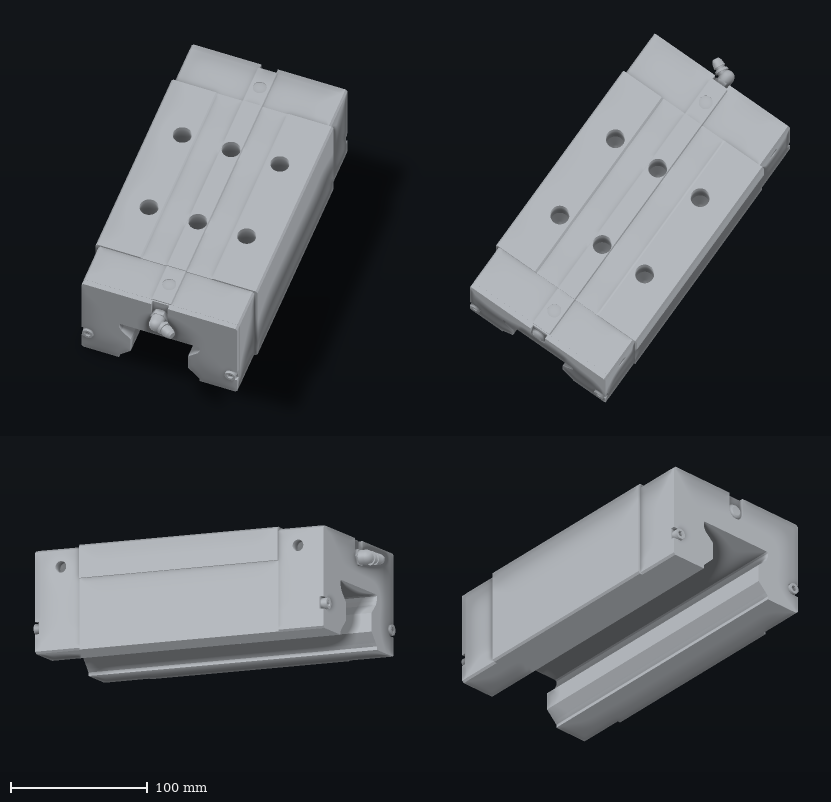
import cadquery as cq
import math

BLOCK_LENGTH = 160.0
CAP_LENGTH = 32.0
PLATE_LENGTH = 4.2
CAP_END_Y = BLOCK_LENGTH / 2 + CAP_LENGTH
PLATE_END_Y = CAP_END_Y + PLATE_LENGTH

BLOCK_HALF_WIDTH = 63.0
BLOCK_HEIGHT = 78.0
BLOCK_CHAMFER = 1.5
SIDE_RELIEF = 1.5
SIDE_RELIEF_HEIGHT = 53.0
TOP_RELIEF_DEPTH = 0.8
TOP_RELIEF_HALF_WIDTH = 26.8
TOP_RELIEF_SLOPE = 1.6

HOLE_DIAMETER = 14.0
HOLE_DEPTH = 24.0
DRILL_POINT_ANGLE = 118.0
HOLE_X = (-38.0, 0.0, 38.0)
HOLE_Y = (-35.0, 35.0)

CAP_HALF_WIDTH = 60.7
CAP_HEIGHT = 76.6
CAP_CHAMFER = 1.5
PLATE_INSET = 0.1

STRIP_TOP_HALF_WIDTH = 7.2
STRIP_BASE_HALF_WIDTH = 8.0
STRIP_RISE = 0.8
CAP_STRIP_TOP = CAP_HEIGHT + STRIP_RISE

PORT_Y = 95.5
PORT_Z = 63.0
SIDE_PORT_DIAMETER = 8.6
SIDE_PORT_DEPTH = 8.0
TOP_PORT_DIAMETER = 10.2
TOP_PORT_DEPTH = 0.5

OPENING_ROOF = 41.0
OPENING_HALF_PROFILE = [
    (31.4, 0.0),
    (31.4, 2.6),
    (29.3, 5.0),
    (22.3, 12.0),
    (22.3, 26.0),
    (29.7, 33.1),
    (31.4, 36.8),
    (31.4, 40.0),
    (30.4, OPENING_ROOF),
]

SLOT_DEPTH = 3.2
SLOT_FLOOR_Y = PLATE_END_Y - SLOT_DEPTH

SCREW_X = 55.5
SCREW_Z = 19.0
SCREW_HEAD_DIAMETER = 8.4
SCREW_HEAD_END_Y = 118.0
SCREW_SLOT_WIDTH = 9.2
SOCKET_ACROSS_CORNERS = 5.0
SOCKET_DEPTH = 2.5

PORT_SLOT_WIDTH = 12.9
PLUG_RADIUS = 6.6
PLUG_TIP_RADIUS = 3.6
PLUG_LENGTH = 3.7
PLUG_BULGE = 0.8

NIPPLE_HEX_ACROSS_CORNERS = 13.2
NIPPLE_HEX_END_Y = -117.5
NIPPLE_HEX_CHAMFER = 0.7
ELBOW_RADIUS = 5.4
ELBOW_Y = -122.5
BARB_ANGLE = 28.0
BARB_AXIS_Y = -120.8
BARB_TIP = 16.5
BARB_TIP_RADIUS = 2.7
BARB_PROFILE = [
    (3.0, 3.8),
    (6.0, 3.8),
    (6.0, 5.3),
    (8.0, 4.8),
    (8.0, 3.6),
    (10.0, 3.6),
    (10.0, 4.5),
    (14.3, 3.8),
    (BARB_TIP, BARB_TIP_RADIUS),
]


def box(x0, x1, y0, y1, z0, z1):
    """Axis-aligned box between two corners."""
    return cq.Workplane("XY").box(x1 - x0, y1 - y0, z1 - z0, centered=False).translate((x0, y0, z0))


def rod(diameter, x, y0, y1, z):
    """Cylinder along Y."""
    circle = cq.Workplane("XZ", origin=(x, y1, z)).circle(diameter / 2)
    return circle.extrude(y1 - y0)


def extrude_along_y(points, half_length):
    """Extrude an XZ outline symmetrically about Y = 0."""
    return cq.Workplane("XZ").polyline(points).close().extrude(half_length, both=True)


def make_block():
    side = BLOCK_HALF_WIDTH
    left_lower = -side + SIDE_RELIEF
    relief_floor = BLOCK_HEIGHT - TOP_RELIEF_DEPTH
    relief_top = TOP_RELIEF_HALF_WIDTH + TOP_RELIEF_SLOPE
    outline = [
        (left_lower, 0),
        (side - BLOCK_CHAMFER, 0),
        (side, BLOCK_CHAMFER),
        (side, BLOCK_HEIGHT - BLOCK_CHAMFER),
        (side - BLOCK_CHAMFER, BLOCK_HEIGHT),
        (relief_top, BLOCK_HEIGHT),
        (TOP_RELIEF_HALF_WIDTH, relief_floor),
        (-TOP_RELIEF_HALF_WIDTH, relief_floor),
        (-relief_top, BLOCK_HEIGHT),
        (-side + BLOCK_CHAMFER, BLOCK_HEIGHT),
        (-side, BLOCK_HEIGHT - BLOCK_CHAMFER),
        (-side, SIDE_RELIEF_HEIGHT),
        (left_lower, SIDE_RELIEF_HEIGHT),
    ]
    return extrude_along_y(outline, BLOCK_LENGTH / 2)


def make_end_section(half_width, height, half_length):
    """End cap or end plate section, running the whole length through the block."""
    section = box(-half_width, half_width, -half_length, half_length, 0, height)
    return section.edges("|Y").chamfer(CAP_CHAMFER)


def make_strip(top, half_length):
    base = top - STRIP_RISE
    outline = [
        (-STRIP_BASE_HALF_WIDTH, base),
        (STRIP_BASE_HALF_WIDTH, base),
        (STRIP_TOP_HALF_WIDTH, top),
        (-STRIP_TOP_HALF_WIDTH, top),
    ]
    return extrude_along_y(outline, half_length)


def make_rail_opening():
    mirrored = [(-x, z) for x, z in reversed(OPENING_HALF_PROFILE)]
    return extrude_along_y(OPENING_HALF_PROFILE + mirrored, PLATE_END_Y)


def make_mounting_hole(x, y):
    radius = HOLE_DIAMETER / 2
    floor = BLOCK_HEIGHT - HOLE_DEPTH
    point_depth = radius / math.tan(math.radians(DRILL_POINT_ANGLE / 2))
    profile = [(0, BLOCK_HEIGHT), (radius, BLOCK_HEIGHT), (radius, floor), (0, floor - point_depth)]
    hole = cq.Workplane("XZ").polyline(profile).close().revolve(360, (0, 0), (0, 1))
    return hole.translate((x, y, 0))


def make_cap_ports(y):
    side_port = cq.Workplane("YZ", origin=(-CAP_HALF_WIDTH, y, PORT_Z))
    side_port = side_port.circle(SIDE_PORT_DIAMETER / 2).extrude(SIDE_PORT_DEPTH)
    top_port = cq.Workplane("XY", origin=(0, y, CAP_STRIP_TOP - TOP_PORT_DEPTH))
    top_port = top_port.circle(TOP_PORT_DIAMETER / 2).extrude(TOP_PORT_DEPTH)
    return side_port.union(top_port)


def make_plate_slots(y0, y1):
    """Screw slots open to both sides and the port slot open to the top."""
    half_port = PORT_SLOT_WIDTH / 2
    slots = box(-half_port, half_port, y0, y1, PORT_Z, BLOCK_HEIGHT)
    slots = slots.union(rod(PORT_SLOT_WIDTH, 0, y0, y1, PORT_Z))
    half_slot = SCREW_SLOT_WIDTH / 2
    for side in (-1, 1):
        x0, x1 = sorted((side * SCREW_X, side * CAP_HALF_WIDTH))
        slots = slots.union(box(x0, x1, y0, y1, SCREW_Z - half_slot, SCREW_Z + half_slot))
        slots = slots.union(rod(SCREW_SLOT_WIDTH, side * SCREW_X, y0, y1, SCREW_Z))
    return slots


def make_screw(x, end):
    """Socket head on the -Y (end = -1) or +Y (end = 1) end plate."""
    y0, y1 = sorted((end * SLOT_FLOOR_Y, end * SCREW_HEAD_END_Y))
    head = rod(SCREW_HEAD_DIAMETER, x, y0, y1, SCREW_Z)
    socket = cq.Workplane("XZ", origin=(x, end * SCREW_HEAD_END_Y, SCREW_Z))
    socket = socket.polygon(6, SOCKET_ACROSS_CORNERS).extrude(end * SOCKET_DEPTH)
    return head.cut(socket)


def make_plug():
    """Domed plug seated on the floor of the rear port slot."""
    tip = SLOT_FLOOR_Y + PLUG_LENGTH
    middle_radius = (PLUG_RADIUS + PLUG_TIP_RADIUS) / 2
    bulge = (middle_radius + PLUG_BULGE, SLOT_FLOOR_Y + PLUG_LENGTH / 2)
    half = cq.Workplane("XY").moveTo(0, SLOT_FLOOR_Y).lineTo(PLUG_RADIUS, SLOT_FLOOR_Y)
    half = half.threePointArc(bulge, (PLUG_TIP_RADIUS, tip)).lineTo(0, tip).close()
    return half.revolve(360, (0, 0), (0, 1)).translate((0, 0, PORT_Z))


def make_nipple():
    """Hexagon base, elbow and hose barb at the front port."""
    base = cq.Workplane("XZ", origin=(0, -SLOT_FLOOR_Y, PORT_Z))
    base = base.polygon(6, NIPPLE_HEX_ACROSS_CORNERS).extrude(-SLOT_FLOOR_Y - NIPPLE_HEX_END_Y)
    envelope = rod(NIPPLE_HEX_ACROSS_CORNERS, 0, NIPPLE_HEX_END_Y, -SLOT_FLOOR_Y, PORT_Z)
    base = base.intersect(envelope.faces(">Y").chamfer(NIPPLE_HEX_CHAMFER))
    stem = rod(2 * ELBOW_RADIUS, 0, ELBOW_Y, NIPPLE_HEX_END_Y, PORT_Z)
    elbow = cq.Workplane("XY").sphere(ELBOW_RADIUS).translate((0, ELBOW_Y, PORT_Z))
    start = BARB_PROFILE[0][0]
    outline = [(start, 0)] + BARB_PROFILE + [(BARB_TIP, 0)]
    barb = cq.Workplane("XY").polyline(outline).close().revolve(360, (0, 0), (1, 0))
    barb = barb.rotate((0, 0, 0), (0, 0, 1), -BARB_ANGLE).translate((0, BARB_AXIS_Y, PORT_Z))
    return base.union(stem).union(elbow).union(barb)


body = make_block()
body = body.union(make_end_section(CAP_HALF_WIDTH, CAP_HEIGHT, CAP_END_Y))
plates = make_end_section(CAP_HALF_WIDTH - PLATE_INSET, CAP_HEIGHT - PLATE_INSET, PLATE_END_Y)
body = body.union(plates)
body = body.union(make_strip(CAP_STRIP_TOP, CAP_END_Y))
body = body.union(make_strip(BLOCK_HEIGHT, BLOCK_LENGTH / 2))
body = body.cut(make_rail_opening())
for hole_x in HOLE_X:
    for hole_y in HOLE_Y:
        body = body.cut(make_mounting_hole(hole_x, hole_y))
for end in (-1, 1):
    body = body.cut(make_cap_ports(end * PORT_Y))
    slot_y0, slot_y1 = sorted((end * SLOT_FLOOR_Y, end * PLATE_END_Y))
    body = body.cut(make_plate_slots(slot_y0, slot_y1))
    for side in (-1, 1):
        body = body.union(make_screw(side * SCREW_X, end))
body = body.union(make_plug())
result = body.union(make_nipple())